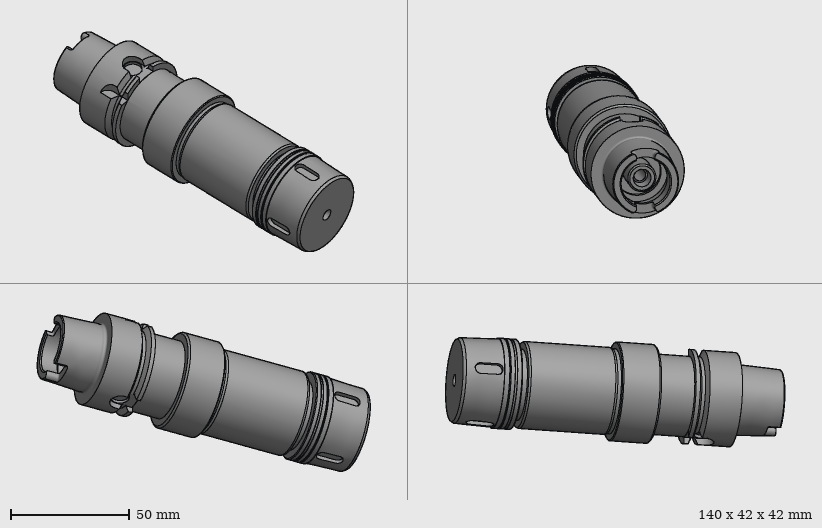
import cadquery as cq

LENGTH = 140.0
TAPER_END = 17.6
RELIEF_START = 18.5
FLANGE_START = 19.7
FLANGE_END = 39.8
COLLAR_START = 54.7
COLLAR_END = 71.7
BODY_START = 73.2
BODY_END = 111.7
NUT_START = 114.5
NUT_RIM_END = 122.4

TAPER_TIP_RADIUS = 14.1
TAPER_BASE_RADIUS = 15.0
RELIEF_RADIUS = 14.8
FLANGE_RADIUS = 20.0
NECK_RADIUS = 17.1
COLLAR_RADIUS = 21.0
UNDERCUT_RADIUS = 18.0
BODY_RADIUS = 18.5
NUT_NECK_RADIUS = 15.1
NUT_RIM_RADIUS = 19.2
NUT_CONE_RADIUS = 18.8
NUT_TIP_RADIUS = 18.2

TAPER_CHAMFER = 0.4
SHOULDER_FILLET = 0.8
COLLAR_FRONT_CHAMFER = 0.8
COLLAR_BACK_CHAMFER = 0.4
BODY_CHAMFER = 1.0
BODY_CHAMFER_RISE = 0.4
NUT_BACK_CHAMFER = 0.4
NUT_FRONT_CHAMFER = 1.3
NUT_FRONT_RISE = 0.7

GROOVE_START = 33.7
GROOVE_END = 38.0
GROOVE_FLOOR_START = 35.1
GROOVE_FLOOR_END = 36.7
GROOVE_FLOOR_RADIUS = 17.2

NUT_GROOVES = [(116.8, 1.0), (119.5, 0.5)]
NUT_GROOVE_DEPTH = 0.4

BORE_MOUTH_RADIUS = 22.1 / 2
BORE_RADIUS = 21.0 / 2
BORE_CHAMFER = 0.5
BORE_STEP = 7.7
RECESS_RADIUS = 25.5 / 2
RECESS_CONE_LENGTH = 1.4
RECESS_END = 19.6
SEAT_RADIUS = 20.0 / 2
SEAT_END = 21.7
TUBE_END = 9.0
TUBE_RADIUS = 12.0 / 2
TUBE_CHAMFER = 0.7
TUBE_MOUTH_RADIUS = 7.5 / 2
TUBE_STEP_RADIUS = 6.5 / 2
TUBE_STEP_DEPTH = 5.6
THROUGH_RADIUS = 5.0 / 2

DRIVE_HALF_WIDTH = 3.9
DRIVE_MOUTH_HALF_WIDTH = 5.9
DRIVE_FLARE_START = 10.9
DRIVE_ROOT_FILLET = 0.8
TOP_DRIVE_DEPTH = 3.4
BOTTOM_DRIVE_DEPTH = 5.7

KEYWAY_CENTRE = 32.2
KEYWAY_RADIUS = 4.3
KEYWAY_FLOOR = 16.8
KEYWAY_HOLE_RADIUS = 8.0 / 2
KEYWAY_HOLE_FLOOR = 15.4
NOTCH_WALL = 12.0

WRENCH_CENTRE = 129.0
WRENCH_LENGTH = 11.9
WRENCH_WIDTH = 4.8
WRENCH_FLOOR = 16.5
WRENCH_COUNT = 4

CLEARANCE = 2.8


def revolve_about_axis(profile):
    return profile.close().revolve(360, (0, 0, 0), (1, 0, 0))


def outer_body():
    profile = (
        cq.Workplane("XY")
        .lineTo(0, TAPER_TIP_RADIUS - TAPER_CHAMFER)
        .lineTo(TAPER_CHAMFER, TAPER_TIP_RADIUS)
        .lineTo(TAPER_END, TAPER_BASE_RADIUS)
        .lineTo(RELIEF_START, RELIEF_RADIUS)
        .lineTo(FLANGE_START - SHOULDER_FILLET, RELIEF_RADIUS)
        .radiusArc((FLANGE_START, RELIEF_RADIUS + SHOULDER_FILLET), -SHOULDER_FILLET)
        .lineTo(FLANGE_START, FLANGE_RADIUS)
        .lineTo(GROOVE_START, FLANGE_RADIUS)
        .lineTo(GROOVE_FLOOR_START, GROOVE_FLOOR_RADIUS)
        .lineTo(GROOVE_FLOOR_END, GROOVE_FLOOR_RADIUS)
        .lineTo(GROOVE_END, FLANGE_RADIUS)
        .lineTo(FLANGE_END, FLANGE_RADIUS)
        .lineTo(FLANGE_END, NECK_RADIUS)
        .lineTo(COLLAR_START, NECK_RADIUS)
        .lineTo(COLLAR_START, COLLAR_RADIUS - COLLAR_FRONT_CHAMFER)
        .lineTo(COLLAR_START + COLLAR_FRONT_CHAMFER, COLLAR_RADIUS)
        .lineTo(COLLAR_END - COLLAR_BACK_CHAMFER, COLLAR_RADIUS)
        .lineTo(COLLAR_END, COLLAR_RADIUS - COLLAR_BACK_CHAMFER)
        .lineTo(COLLAR_END, UNDERCUT_RADIUS)
        .lineTo(BODY_START, UNDERCUT_RADIUS)
        .lineTo(BODY_START + BODY_CHAMFER, BODY_RADIUS)
        .lineTo(BODY_END - BODY_CHAMFER, BODY_RADIUS)
        .lineTo(BODY_END, BODY_RADIUS - BODY_CHAMFER_RISE)
        .lineTo(BODY_END, NUT_NECK_RADIUS)
        .lineTo(NUT_START, NUT_NECK_RADIUS)
        .lineTo(NUT_START, NUT_RIM_RADIUS - NUT_BACK_CHAMFER)
        .lineTo(NUT_START + NUT_BACK_CHAMFER, NUT_RIM_RADIUS)
        .lineTo(NUT_RIM_END, NUT_RIM_RADIUS)
        .lineTo(NUT_RIM_END, NUT_CONE_RADIUS)
        .lineTo(LENGTH - NUT_FRONT_CHAMFER, NUT_TIP_RADIUS)
        .lineTo(LENGTH, NUT_TIP_RADIUS - NUT_FRONT_RISE)
        .lineTo(LENGTH, 0)
    )
    return revolve_about_axis(profile)


def shank_cavity():
    """Everything hollow in the shank: bore, clamping recess, seat and through hole."""
    profile = (
        cq.Workplane("XY")
        .lineTo(0, BORE_MOUTH_RADIUS)
        .lineTo(BORE_CHAMFER, BORE_RADIUS)
        .lineTo(BORE_STEP, BORE_RADIUS)
        .lineTo(BORE_STEP + RECESS_CONE_LENGTH, RECESS_RADIUS)
        .lineTo(RECESS_END, RECESS_RADIUS)
        .lineTo(RECESS_END, SEAT_RADIUS)
        .lineTo(SEAT_END, SEAT_RADIUS)
        .lineTo(SEAT_END, TUBE_RADIUS)
        .lineTo(TUBE_END + TUBE_CHAMFER, TUBE_RADIUS)
        .lineTo(TUBE_END, TUBE_RADIUS - TUBE_CHAMFER)
        .lineTo(TUBE_END, TUBE_MOUTH_RADIUS)
        .lineTo(TUBE_END + TUBE_STEP_DEPTH, TUBE_STEP_RADIUS)
        .lineTo(TUBE_END + TUBE_STEP_DEPTH, THROUGH_RADIUS)
        .lineTo(LENGTH, THROUGH_RADIUS)
        .lineTo(LENGTH, 0)
    )
    return revolve_about_axis(profile)


def nut_groove(start, width):
    return (
        cq.Workplane("YZ", origin=(start, 0, 0))
        .circle(NUT_RIM_RADIUS + CLEARANCE)
        .circle(NUT_RIM_RADIUS - NUT_GROOVE_DEPTH)
        .extrude(width)
    )


def drive_slot(depth):
    """Slot on the +Z side whose walls flare outwards in a rounded mouth."""
    flare = DRIVE_MOUTH_HALF_WIDTH - DRIVE_HALF_WIDTH
    flare_end = DRIVE_FLARE_START + flare
    top = TAPER_BASE_RADIUS + CLEARANCE
    return (
        cq.Workplane("YZ")
        .moveTo(-DRIVE_HALF_WIDTH, THROUGH_RADIUS)
        .lineTo(-DRIVE_HALF_WIDTH, DRIVE_FLARE_START)
        .radiusArc((-DRIVE_MOUTH_HALF_WIDTH, flare_end), -flare)
        .lineTo(-DRIVE_MOUTH_HALF_WIDTH, top)
        .lineTo(DRIVE_MOUTH_HALF_WIDTH, top)
        .lineTo(DRIVE_MOUTH_HALF_WIDTH, flare_end)
        .radiusArc((DRIVE_HALF_WIDTH, DRIVE_FLARE_START), -flare)
        .lineTo(DRIVE_HALF_WIDTH, THROUGH_RADIUS)
        .close()
        .extrude(depth)
        .faces(">X")
        .edges()
        .fillet(DRIVE_ROOT_FILLET)
    )


def keyway(centre_y, floor):
    """Round-ended slot milled downwards in the flange and open towards +X."""
    height = FLANGE_RADIUS + CLEARANCE - floor
    run = FLANGE_END - KEYWAY_CENTRE
    plane = cq.Workplane("XY", origin=(KEYWAY_CENTRE, centre_y, floor))
    straight = plane.center(run / 2, 0).rect(run, 2 * KEYWAY_RADIUS).extrude(height)
    return plane.circle(KEYWAY_RADIUS).extrude(height).union(straight)


def centre_keyway():
    hole = (
        cq.Workplane("XY", origin=(KEYWAY_CENTRE, 0, KEYWAY_HOLE_FLOOR))
        .circle(KEYWAY_HOLE_RADIUS)
        .extrude(FLANGE_RADIUS - KEYWAY_HOLE_FLOOR)
    )
    return keyway(0, KEYWAY_FLOOR).union(hole)


def wrench_slot():
    return (
        cq.Workplane("XY", origin=(WRENCH_CENTRE, 0, WRENCH_FLOOR))
        .slot2D(WRENCH_LENGTH, WRENCH_WIDTH)
        .extrude(CLEARANCE)
    )


def turned(shape, angle):
    return shape.rotate((0, 0, 0), (1, 0, 0), angle)


result = outer_body().cut(shank_cavity())

for groove_start, groove_width in NUT_GROOVES:
    result = result.cut(nut_groove(groove_start, groove_width))

result = result.cut(drive_slot(TOP_DRIVE_DEPTH))
result = result.cut(turned(drive_slot(BOTTOM_DRIVE_DEPTH), 180))

result = result.cut(centre_keyway())
result = result.cut(turned(centre_keyway(), 180))
result = result.cut(keyway(-NOTCH_WALL - KEYWAY_RADIUS, NOTCH_WALL))

for index in range(WRENCH_COUNT):
    result = result.cut(turned(wrench_slot(), index * 360 / WRENCH_COUNT))